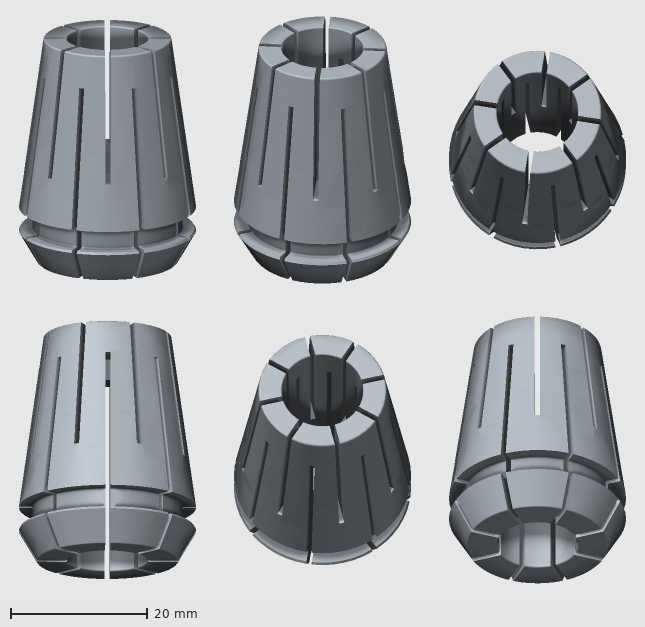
import cadquery as cq
import math

total_height = 34.0
max_diameter = 25.98
bore_diameter = 11.9
edge_fillet = 0.25

cone_half_angle = 8.0
cone_base_z = 8.15
cone_tip_fillet = 0.3

groove_diameter = 22.03
groove_bottom_z = 4.95

nut_cone_half_angle = 30.0
rim_chamfer = 0.4

slit_width = 0.78
slits_per_set = 8
slit_pitch = 360.0 / slits_per_set
lower_slit_top_z = 29.05
upper_slit_bottom_z = 14.93

max_radius = max_diameter / 2
groove_radius = groove_diameter / 2
bore_radius = bore_diameter / 2
cone_slope = math.tan(math.radians(cone_half_angle))
nut_cone_slope = math.tan(math.radians(nut_cone_half_angle))
cone_top_radius = max_radius - (total_height - cone_base_z) * cone_slope

rim_corner_radius = max_radius + rim_chamfer * math.sin(math.radians(nut_cone_half_angle))
nut_cone_bottom_radius = rim_corner_radius - groove_bottom_z * nut_cone_slope


def turned_blank():
    """Revolve the sharp-edged half section around Z."""
    half_section = [
        (bore_radius, 0),
        (nut_cone_bottom_radius, 0),
        (rim_corner_radius, groove_bottom_z),
        (groove_radius, groove_bottom_z),
        (groove_radius, cone_base_z),
        (max_radius, cone_base_z),
        (cone_top_radius, total_height),
        (bore_radius, total_height),
    ]
    return cq.Workplane("XZ").polyline(half_section).close().revolve(360, (0, 0, 0), (0, 1, 0))


def circular_edge(body, radius, z):
    """Select the circular edge of the given radius at height z."""
    tolerance = 0.005

    def is_wanted(edge):
        if edge.geomType() != "CIRCLE":
            return False
        return abs(edge.Center().z - z) < tolerance and abs(edge.radius() - radius) < tolerance

    return body.edges().filter(is_wanted)


def slit_set(first_angle, bottom_z, top_z):
    """Slabs through the axis; each one makes two opposite slits."""
    slab = (
        cq.Workplane("XY", origin=(0, 0, bottom_z))
        .rect(2 * max_diameter, slit_width)
        .extrude(top_z - bottom_z)
        .rotate((0, 0, 0), (0, 0, 1), first_angle)
    )
    slits = slab
    for index in range(1, slits_per_set // 2):
        slits = slits.union(slab.rotate((0, 0, 0), (0, 0, 1), index * slit_pitch))
    return slits


body = turned_blank()

body = circular_edge(body, rim_corner_radius, groove_bottom_z).chamfer(rim_chamfer)

body = circular_edge(body, cone_top_radius, total_height).fillet(cone_tip_fillet)

rounded_edges = [
    (bore_radius, total_height),
    (bore_radius, 0),
    (nut_cone_bottom_radius, 0),
    (groove_radius, groove_bottom_z),
    (groove_radius, cone_base_z),
]
for edge_radius, edge_z in rounded_edges:
    body = circular_edge(body, edge_radius, edge_z).fillet(edge_fillet)

lower_slits = slit_set(0, 0, lower_slit_top_z)
upper_slits = slit_set(slit_pitch / 2, upper_slit_bottom_z, total_height)
result = body.cut(lower_slits).cut(upper_slits)